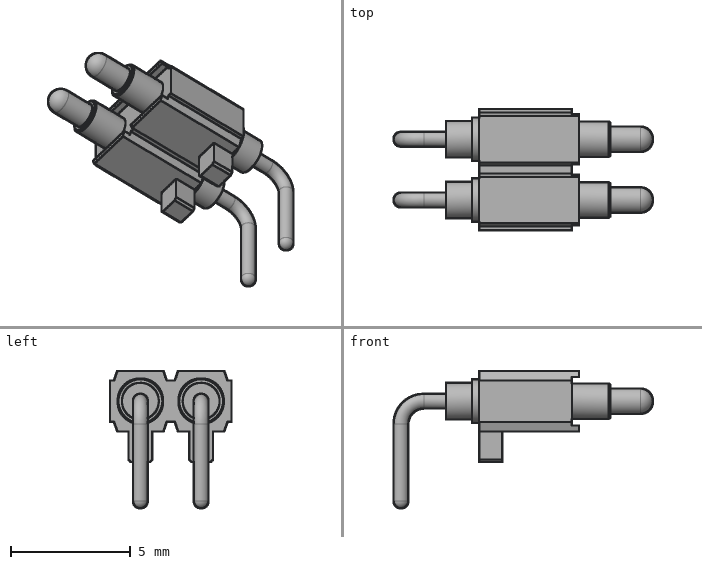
import cadquery as cq

pitch = 2.54
total_length = 10.85
contact_count = 2
contact_centres = [(i - (contact_count - 1) / 2) * pitch for i in range(contact_count)]

tail_diameter = 0.63
tail_radius = tail_diameter / 2
tail_drop = 4.48
bend_radius = 0.95

collar_diameter = 1.54
collar_start = 2.19
flange_diameter = 1.83
flange_start = 3.28
barrel_diameter = 1.5
barrel_end = 9.06
barrel_chamfer = 0.07
plunger_diameter = 1.07

body_start = 3.58
body_end = 7.76
body_height = 2.54
flank_height = 1.74
top_inset = 0.3
shoulder_inset = 0.16
lip_length = 0.3
lip_gap = 2.02
flange_bore_diameter = 1.91
flange_bore_depth = 0.3

lug_length = 0.98
lug_width = 1.01
lug_drop = 2.55
lug_chamfer = 0.11
lug_overlap = 0.22


def make_body_cell(y):
    """One cell of the body: a block with a notched, sloping flank at each corner."""
    half_pitch = pitch / 2
    shoulder_y = half_pitch - shoulder_inset
    top_y = half_pitch - top_inset
    flank_z = flank_height / 2
    top_z = body_height / 2
    upper_half = [
        (half_pitch, flank_z),
        (shoulder_y, flank_z),
        (top_y, top_z),
        (-top_y, top_z),
        (-shoulder_y, flank_z),
        (-half_pitch, flank_z),
    ]
    lower_half = [(-py, -pz) for py, pz in upper_half]
    cell = (
        cq.Workplane("YZ", origin=(body_start, y, 0))
        .polyline(upper_half + lower_half)
        .close()
        .extrude(body_end - body_start)
    )
    recess = cq.Workplane("XY").box(lip_length, pitch, lip_gap)
    return cell.cut(recess.translate((body_end - lip_length / 2, y, 0)))


def make_lug(y):
    """Rectangular lug below the body with its two lower side edges chamfered."""
    return (
        cq.Workplane("XY", origin=(body_start + lug_length / 2, y, -lug_drop))
        .rect(lug_length, lug_width)
        .extrude(lug_drop - body_height / 2 + lug_overlap)
        .edges("<Z and |X")
        .chamfer(lug_chamfer)
    )


def make_cylinder(diameter, start, end, y):
    """Solid cylinder on a contact axis, between two X positions."""
    return cq.Workplane("YZ", origin=(start, y, 0)).circle(diameter / 2).extrude(end - start)


def make_tail(y):
    """Round wire that leaves the collar, bends down and ends in a hemisphere."""
    wire_x = tail_radius
    tip_centre_z = tail_radius - tail_drop
    path = (
        cq.Workplane("XZ", origin=(0, y, 0))
        .moveTo(wire_x, tip_centre_z)
        .lineTo(wire_x, -bend_radius)
        .radiusArc((wire_x + bend_radius, 0), bend_radius)
        .lineTo(collar_start, 0)
    )
    wire = cq.Workplane("XY", origin=(wire_x, y, tip_centre_z)).circle(tail_radius).sweep(path)
    tip = cq.Workplane("XY").sphere(tail_radius).translate((wire_x, y, tip_centre_z))
    return wire.union(tip)


def make_contact(y):
    """Complete spring contact: tail, collar, flange, barrel and domed plunger."""
    bore_floor = body_start + flange_bore_depth
    dome_centre_x = total_length - plunger_diameter / 2
    collar = make_cylinder(collar_diameter, collar_start, bore_floor, y)
    flange = make_cylinder(flange_diameter, flange_start, bore_floor, y)
    barrel = make_cylinder(barrel_diameter, bore_floor, barrel_end, y).faces(">X").chamfer(barrel_chamfer)
    plunger = make_cylinder(plunger_diameter, bore_floor, dome_centre_x, y)
    dome = cq.Workplane("XY").sphere(plunger_diameter / 2).translate((dome_centre_x, y, 0))
    return make_tail(y).union(collar).union(flange).union(barrel).union(plunger).union(dome)


body = cq.Workplane("XY")
for centre in contact_centres:
    body = body.union(make_body_cell(centre)).union(make_lug(centre))

result = body
for centre in contact_centres:
    bore = make_cylinder(flange_bore_diameter, body_start, body_start + flange_bore_depth, centre)
    result = result.cut(bore).union(make_contact(centre))